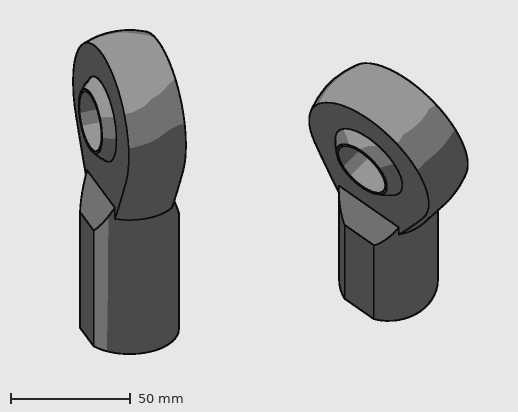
import cadquery as cq
import math

eye_radius = 34.9
eye_height = 104.8
eye_width = 25.5

neck_angle = math.radians(24.0)
tangent_radius = eye_radius * math.cos(neck_angle)
tangent_height = eye_height - eye_radius * math.sin(neck_angle)

shank_radius = 20.7
shank_width = 38.1
ramp_bottom = 56.5
ramp_top = 70.8
neck_bottom = tangent_height - (tangent_radius - shank_radius) / math.tan(neck_angle)

ball_radius = 22.2
ball_width = 34.9
bore_diameter = 25.4


def make_ball_blank(inner_radius):
    """Truncated ball turned about the Y axis of the eye, solid if inner_radius is 0."""
    half_width = ball_width / 2
    end_radius = math.sqrt(ball_radius**2 - half_width**2)
    return (
        cq.Workplane("XY", origin=(0, 0, eye_height))
        .moveTo(inner_radius, -half_width)
        .lineTo(end_radius, -half_width)
        .threePointArc((ball_radius, 0), (end_radius, half_width))
        .lineTo(inner_radius, half_width)
        .close()
        .revolve(360, (0, 0, 0), (0, 1, 0))
    )


def make_round_blank():
    """Shank, tangent neck and eye turned about the Z axis."""
    mid_angle = (math.pi / 2 - neck_angle) / 2
    arc_middle = (
        eye_radius * math.cos(mid_angle),
        eye_height + eye_radius * math.sin(mid_angle),
    )
    return (
        cq.Workplane("XZ")
        .lineTo(shank_radius, 0)
        .lineTo(shank_radius, neck_bottom)
        .lineTo(tangent_radius, tangent_height)
        .threePointArc(arc_middle, (0, eye_height + eye_radius))
        .close()
        .revolve(360, (0, 0, 0), (0, 1, 0))
    )


def make_side_envelope():
    """Slab that cuts the shank flats, the ramps and the faces of the eye."""
    half_shank = shank_width / 2
    half_eye = eye_width / 2
    top = eye_height + eye_radius
    return (
        cq.Workplane("YZ")
        .polyline([
            (-half_shank, 0),
            (half_shank, 0),
            (half_shank, ramp_bottom),
            (half_eye, ramp_top),
            (half_eye, top),
            (-half_eye, top),
            (-half_eye, ramp_top),
            (-half_shank, ramp_bottom),
        ])
        .close()
        .extrude(eye_radius, both=True)
    )


def make_shoulder_limit():
    """Volume that keeps the neck outside the shank within the eye width."""
    shank = cq.Workplane("XY").circle(shank_radius).extrude(ramp_top)
    eye_slab = cq.Workplane("XY").box(
        2 * eye_radius, eye_width, eye_height + eye_radius, centered=(True, True, False)
    )
    return shank.union(eye_slab)


def make_housing():
    """Rod end with a spherical seat that fits the ball."""
    body = make_round_blank().intersect(make_side_envelope()).intersect(make_shoulder_limit())
    return body.cut(make_ball_blank(0)).solids()


def make_ball():
    """Ball with flat ends and a through bore along Y."""
    return make_ball_blank(bore_diameter / 2)


housing = make_housing()
ball = make_ball()
result = cq.Compound.makeCompound([housing.val(), ball.val()])